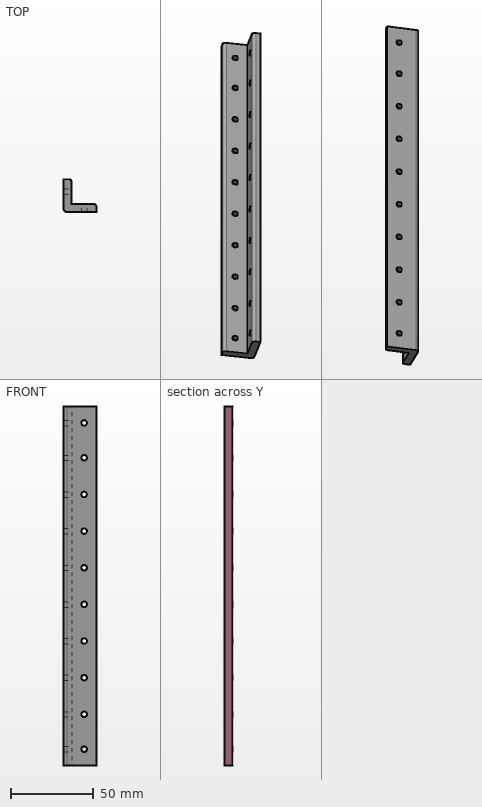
import cadquery as cq

bar_length = 218.2
leg_width = 20.0
leg_thickness = 5.0
edge_radius = 2.0

hole_diameter = 3.3
hole_offset = (leg_thickness + leg_width) / 2
end_margin = 10.0
inner_hole_count = 8
inner_hole_pitch = 22.3

inner_row_length = (inner_hole_count - 1) * inner_hole_pitch
first_inner_hole = (bar_length - inner_row_length) / 2
inner_hole_heights = [first_inner_hole + i * inner_hole_pitch for i in range(inner_hole_count)]
hole_heights = [end_margin, *inner_hole_heights, bar_length - end_margin]


def make_angle_bar():
    """L-shaped bar with a rounded heel and rounded leg tips."""
    bar = (
        cq.Workplane("XY")
        .polyline([
            (0, 0),
            (leg_width, 0),
            (leg_width, leg_thickness),
            (leg_thickness, leg_thickness),
            (leg_thickness, leg_width),
            (0, leg_width),
        ])
        .close()
        .extrude(bar_length)
    )
    mid_height = bar_length / 2
    rounded_corners = [(0, 0), (leg_width, leg_thickness), (leg_thickness, leg_width)]
    for x, y in rounded_corners:
        nearest_edge = cq.selectors.NearestToPointSelector((x, y, mid_height))
        bar = bar.edges(nearest_edge).fillet(edge_radius)
    return bar


def make_hole_row(plane_name, depth):
    """Row of hole cylinders; depth is signed along the plane normal."""
    return (
        cq.Workplane(plane_name)
        .pushPoints([(hole_offset, height) for height in hole_heights])
        .circle(hole_diameter / 2)
        .extrude(depth)
    )


x_leg_holes = make_hole_row("XZ", -leg_thickness)
y_leg_holes = make_hole_row("YZ", leg_thickness)

result = make_angle_bar().cut(x_leg_holes).cut(y_leg_holes)